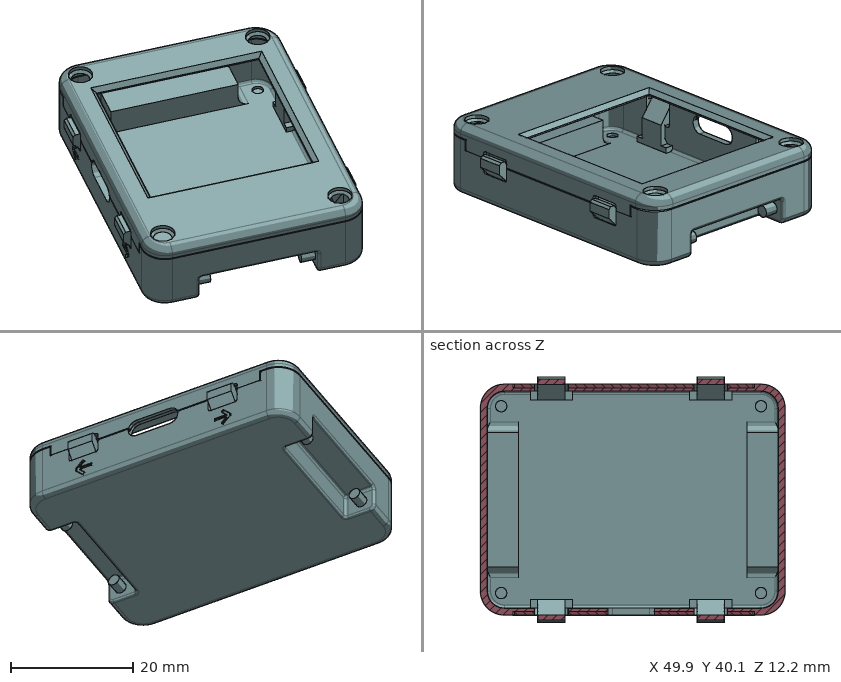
import cadquery as cq

LENGTH = 49.9
WIDTH = 37.8
HEIGHT = 12.15
WALL = 1.2
CORNER_RADIUS = 4.0
LID_BACK_LEFT_RADIUS = 4.35
TOP_ROUNDING = 1.5
BOTTOM_ROUNDING = 1.0

FLOOR = 0.75
CEILING = 1.0
FLOOR_FILLET = 0.5
CAVITY_LENGTH = LENGTH - 2 * WALL
CAVITY_WIDTH = WIDTH - 2 * WALL
CAVITY_RADIUS = CORNER_RADIUS - WALL
CEILING_Z = HEIGHT - CEILING

GAP = 0.2
BASE_RIM_Z = 9.8
LID_RIM_Z = BASE_RIM_Z + GAP
SKIRT_CENTER_X = 0.15
SKIRT_LENGTH = 39.0
SKIRT_THICKNESS = 0.6
SKIRT_SEAT_Z = 8.0
SKIRT_MIDDLE_Z = 7.85
SEAT_MIDDLE_Z = SKIRT_MIDDLE_Z - GAP

FITTINGS_CENTER_X = -0.275
CLIP_SPACING = 26.05
CLIP_WIDTH = 4.5
CLIP_THICKNESS = 0.9
CLIP_INNER_Y = 16.3
CLIP_BEND_Z = 5.35
CLIP_SLOPE_END_Y = 18.85
CLIP_TOP_Z = 8.8
CLIP_REACH = 20.05
CLIP_NOSE_CHAMFER = 0.4
CLIP_NOSE_BOTTOM_Z = 6.8
CLIP_UNDERSIDE_Z = 5.05
CLIP_FOOT_WIDTH = 6.9
CLIP_FOOT_TOP_Z = 1.7
CLIP_ROOT_FLARE = 1.0
CLIP_CENTERS_X = [FITTINGS_CENTER_X + side * CLIP_SPACING / 2 for side in (-1, 1)]

WINDOW_WIDTH = 5.45
WINDOW_BOTTOM_Z = 5.3
WINDOW_SILL_DROP = 0.7
WINDOW_TOP_Z = 9.2
WINDOW_RADIUS = 0.45

USB_WIDTH = 9.3
USB_HEIGHT = 3.2
USB_CENTER_Z = 7.3

SCREW_SPACING_X = 42.45
SCREW_SPACING_Y = 30.55
SCREW_HEAD_DIAMETER = 4.0
SCREW_HEAD_DEPTH = 0.6
SCREW_BORE_DIAMETER = 3.05
SCREW_PILOT_DIAMETER = 1.85
SCREW_PILOT_DEPTH = 0.5

SCREEN_CENTER_X = -3.1
SCREEN_SIZE = 27.95
SCREEN_BEVEL = 0.75

STRAP_HALF_WIDTH = 10.25
STRAP_TOP_Z = 4.55
STRAP_DEPTH = 5.5
STRAP_ROUNDING = 0.5
STRAP_RIM_ROUNDING = 0.45
STRAP_INNER_X = 18.7
STRAP_COVER_HALF_WIDTH = 11.0
STRAP_COVER_TOP_Z = STRAP_TOP_Z + FLOOR
STRAP_COVER_FILLET = 1.75
STRAP_PIN_DIAMETER = 2.0
STRAP_PIN_LENGTH = 2.4
STRAP_PIN_X = 22.5
STRAP_PIN_Z = 2.3

ARROW_Z = 3.0
ARROW_LENGTH = 2.85
ARROW_TIP_OFFSET = 1.3
ARROW_STROKE = 0.5
ARROW_HEAD_STROKE_LENGTH = 1.95
ARROW_DEPTH = 0.25


def box(x0, x1, y0, y1, z0, z1):
    return cq.Workplane("XY").box(x1 - x0, y1 - y0, z1 - z0, centered=False).translate((x0, y0, z0))


def rounded_block(length, width, radius, z0, z1):
    return cq.Workplane("XY", origin=(0, 0, z0)).rect(length, width).extrude(z1 - z0).edges("|Z").fillet(radius)


def screw_places(z):
    center = (FITTINGS_CENTER_X, 0, z)
    return cq.Workplane("XY", origin=center).rect(SCREW_SPACING_X, SCREW_SPACING_Y, forConstruction=True).vertices()


def clip_window(x):
    """Opening through the +Y wall at x, its sill sloping down towards the inside."""
    inner_y = CAVITY_WIDTH / 2
    outer_y = WIDTH / 2
    window = (
        cq.Workplane("YZ", origin=(x - WINDOW_WIDTH / 2, 0, 0))
        .moveTo(inner_y, WINDOW_BOTTOM_Z - WINDOW_SILL_DROP)
        .lineTo(outer_y, WINDOW_BOTTOM_Z)
        .lineTo(outer_y, WINDOW_TOP_Z)
        .lineTo(inner_y, WINDOW_TOP_Z)
        .close()
        .extrude(WINDOW_WIDTH)
    )
    return window.edges("not (|X or |Z)").fillet(WINDOW_RADIUS)


def cut_clip_windows(body):
    for x in CLIP_CENTERS_X:
        body = body.cut(clip_window(x)).cut(clip_window(x).mirror("XZ"))
    return body


def usb_slot():
    center = (FITTINGS_CENTER_X, -CAVITY_WIDTH / 2, USB_CENTER_Z)
    return cq.Workplane("XZ", origin=center).slot2D(USB_WIDTH, USB_HEIGHT).extrude(WIDTH)


def skirt_space(clearance, middle_z):
    """Outer part of the +Y wall that belongs to the lid, dipping between the clips."""
    half = SKIRT_LENGTH / 2 + clearance
    x0 = SKIRT_CENTER_X - half
    x1 = SKIRT_CENTER_X + half
    outer_y = WIDTH / 2
    inner_y = outer_y - SKIRT_THICKNESS
    dip = box(*CLIP_CENTERS_X, inner_y, outer_y, middle_z, LID_RIM_Z)
    return box(x0, x1, inner_y, outer_y, SKIRT_SEAT_Z, LID_RIM_Z).union(dip)


def strap_recess():
    """Space for a strap at the -X end, open to the end face and the underside."""
    back = STRAP_DEPTH - LENGTH / 2
    front = -LENGTH / 2 - STRAP_DEPTH
    recess = box(front, back, -STRAP_HALF_WIDTH, STRAP_HALF_WIDTH, -STRAP_DEPTH, STRAP_TOP_Z)
    return recess.edges("(>Z and |X) or (>X and >Z) or (>X and |Z)").fillet(STRAP_ROUNDING)


def strap_cover():
    """Raised housing inside the case that closes off the -X strap recess."""
    end = -LENGTH / 2 + WALL / 2
    foot = STRAP_COVER_HALF_WIDTH + STRAP_COVER_FILLET
    shoulder_z = FLOOR + STRAP_COVER_FILLET
    arc_offset = STRAP_COVER_FILLET * (1 - 0.5**0.5)
    near = STRAP_COVER_HALF_WIDTH + arc_offset
    low = FLOOR + arc_offset
    outline = (
        cq.Workplane("YZ", origin=(end, 0, 0))
        .moveTo(-foot, FLOOR)
        .threePointArc((-near, low), (-STRAP_COVER_HALF_WIDTH, shoulder_z))
        .lineTo(-STRAP_COVER_HALF_WIDTH, STRAP_COVER_TOP_Z)
        .lineTo(STRAP_COVER_HALF_WIDTH, STRAP_COVER_TOP_Z)
        .lineTo(STRAP_COVER_HALF_WIDTH, shoulder_z)
        .threePointArc((near, low), (foot, FLOOR))
        .lineTo(foot, FLOOR / 2)
        .lineTo(-foot, FLOOR / 2)
        .close()
    )
    return outline.extrude(-STRAP_INNER_X - end)


def strap_pin(end, side):
    """Short pin standing on a recess side wall; end and side are the signs of its X and Y."""
    start = cq.Workplane("XZ", origin=(end * STRAP_PIN_X, side * STRAP_HALF_WIDTH, STRAP_PIN_Z))
    return start.circle(STRAP_PIN_DIAMETER / 2).extrude(side * STRAP_PIN_LENGTH)


def clip(x):
    """Spring clip beside the +Y wall, its nose passing out through the window."""
    back_y = CLIP_INNER_Y + CLIP_THICKNESS
    wall_y = CAVITY_WIDTH / 2
    arm = (
        cq.Workplane("YZ", origin=(x - CLIP_WIDTH / 2, 0, 0))
        .moveTo(CLIP_INNER_Y, FLOOR)
        .lineTo(CLIP_INNER_Y, CLIP_BEND_Z)
        .lineTo(CLIP_SLOPE_END_Y, CLIP_TOP_Z)
        .lineTo(CLIP_REACH - CLIP_NOSE_CHAMFER, CLIP_TOP_Z)
        .lineTo(CLIP_REACH, CLIP_TOP_Z - CLIP_NOSE_CHAMFER)
        .lineTo(CLIP_REACH, CLIP_NOSE_BOTTOM_Z)
        .lineTo(CLIP_REACH - CLIP_NOSE_BOTTOM_Z + CLIP_UNDERSIDE_Z, CLIP_UNDERSIDE_Z)
        .lineTo(back_y, CLIP_UNDERSIDE_Z)
        .lineTo(back_y, CLIP_FOOT_TOP_Z + CLIP_ROOT_FLARE)
        .lineTo(wall_y, CLIP_FOOT_TOP_Z)
        .lineTo(wall_y, FLOOR)
        .close()
        .extrude(CLIP_WIDTH)
    )
    half_foot = CLIP_FOOT_WIDTH / 2
    return arm.union(box(x - half_foot, x + half_foot, CLIP_INNER_Y, wall_y, FLOOR / 2, CLIP_FOOT_TOP_Z))


def arrow(x, direction):
    """Arrow cutter in the -Y wall, its tip pointing along direction (+1 or -1) on X."""

    def stroke(length, angle):
        bar = box(-length, 0, 0, ARROW_DEPTH, -ARROW_STROKE / 2, ARROW_STROKE / 2)
        return bar.rotate((0, 0, 0), (0, 1, 0), angle)

    shape = stroke(ARROW_LENGTH, 0)
    for angle in (-45, 45):
        shape = shape.union(stroke(ARROW_HEAD_STROKE_LENGTH, angle))
    if direction < 0:
        shape = shape.rotate((0, 0, 0), (0, 1, 0), 180)
    return shape.translate((x + direction * ARROW_TIP_OFFSET, -WIDTH / 2, ARROW_Z))


def round_strap_rims(base):
    """Round the rim of each strap recess, along the end face and on around the underside."""
    half = STRAP_HALF_WIDTH + STRAP_ROUNDING
    for x in (-LENGTH / 2, LENGTH / 2):
        low_corner = (x - STRAP_ROUNDING, -half, -STRAP_ROUNDING)
        high_corner = (x + STRAP_ROUNDING, half, STRAP_TOP_Z + STRAP_ROUNDING)
        rim = base.edges(cq.selectors.BoxSelector(low_corner, high_corner)).edges("|Y or |Z")
        base = rim.fillet(STRAP_RIM_ROUNDING)
    return base


def make_base():
    base = rounded_block(LENGTH, WIDTH, CORNER_RADIUS, 0, BASE_RIM_Z)
    base = base.faces("<Z").edges().fillet(BOTTOM_ROUNDING)
    cavity = rounded_block(CAVITY_LENGTH, CAVITY_WIDTH, CAVITY_RADIUS, FLOOR, HEIGHT)
    base = base.cut(cavity.faces("<Z").edges().fillet(FLOOR_FILLET))
    seat = skirt_space(GAP, SEAT_MIDDLE_Z)
    base = base.cut(seat).cut(seat.mirror("XZ"))
    base = cut_clip_windows(base).cut(usb_slot())
    base = base.cut(screw_places(FLOOR).circle(SCREW_PILOT_DIAMETER / 2).extrude(-SCREW_PILOT_DEPTH))

    base = base.union(strap_cover()).union(strap_cover().mirror("YZ"))
    base = base.cut(strap_recess()).cut(strap_recess().mirror("YZ"))
    base = round_strap_rims(base)
    for end in (-1, 1):
        for side in (-1, 1):
            base = base.union(strap_pin(end, side))

    for x, direction in zip(CLIP_CENTERS_X, (-1, 1)):
        base = base.union(clip(x)).union(clip(x).mirror("XZ"))
        base = base.cut(arrow(x, direction))
    return base


def screw_holes():
    """Head recesses that taper down to the bores at the ceiling."""
    heads = screw_places(HEIGHT).circle(SCREW_HEAD_DIAMETER / 2).extrude(-SCREW_HEAD_DEPTH)
    taper_depth = CEILING - SCREW_HEAD_DEPTH
    taper = cq.Solid.makeCone(SCREW_BORE_DIAMETER / 2, SCREW_HEAD_DIAMETER / 2, taper_depth)
    return heads.union(screw_places(CEILING_Z).eachpoint(lambda place: taper.moved(place)))


def screen_opening():
    """Square opening with its edge bevelled at the top."""
    opening = cq.Workplane("XY", origin=(SCREEN_CENTER_X, 0, CEILING_Z)).rect(SCREEN_SIZE, SCREEN_SIZE)
    outer_size = SCREEN_SIZE + 2 * SCREEN_BEVEL
    bevel = cq.Workplane("XY", origin=(SCREEN_CENTER_X, 0, HEIGHT)).rect(outer_size, outer_size)
    return opening.extrude(CEILING).union(bevel.extrude(-SCREEN_BEVEL, taper=45))


def make_lid():
    lid = cq.Workplane("XY", origin=(0, 0, LID_RIM_Z)).rect(LENGTH, WIDTH).extrude(HEIGHT - LID_RIM_Z)
    lid = lid.edges("|Z and <X and >Y").fillet(LID_BACK_LEFT_RADIUS)
    lid = lid.edges("|Z and (>X or <Y)").fillet(CORNER_RADIUS)
    lid = lid.faces(">Z").edges().fillet(TOP_ROUNDING)
    lid = lid.cut(rounded_block(CAVITY_LENGTH, CAVITY_WIDTH, CAVITY_RADIUS, 0, CEILING_Z))
    skirt = skirt_space(0, SKIRT_MIDDLE_Z)
    lid = lid.union(skirt).union(skirt.mirror("XZ"))
    lid = cut_clip_windows(lid).cut(usb_slot())
    return lid.cut(screen_opening()).cut(screw_holes())


base = make_base()
lid = make_lid()
result = cq.Compound.makeCompound([base.solids().val(), lid.solids().val()])